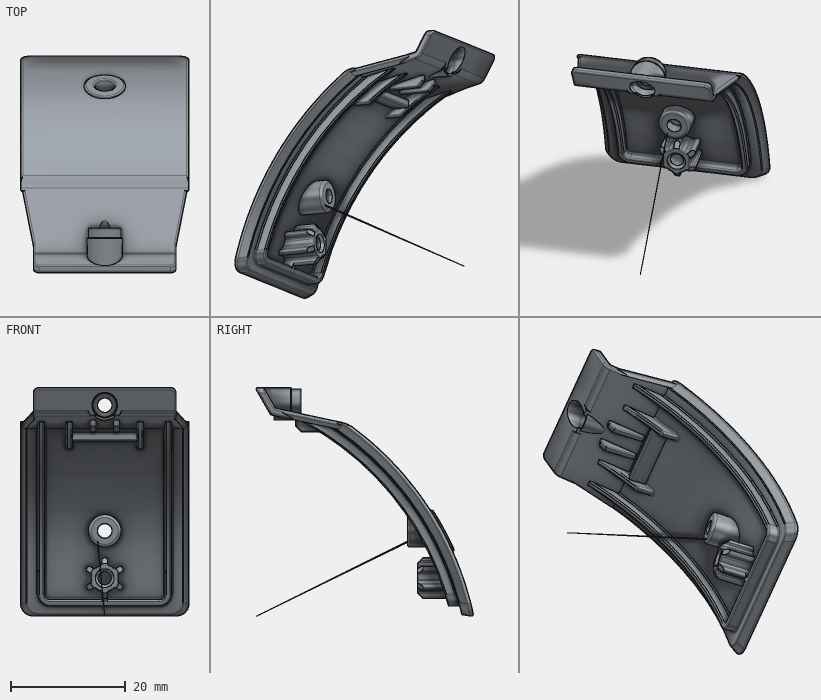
import cadquery as cq
import math

arc_y, arc_z = -16.0, -11.3
outer_radius = 55.0
plate_thickness = 2.0
inner_radius = outer_radius - plate_thickness
half_width = 15.02
side_inset = 1.35
plate_start = 10.0
plate_end = 56.2
foot_z = -0.1
foot_tilt = 10.0
foot_corner_radius = 2.6
outer_edge_radius = 0.4

corner_y, corner_z = 3.3, 36.2
panel_slope = 12.0
lip_slope = 60.0
panel_thickness = 1.3
panel_length = 13.1
top_z = 39.81
lip_half_width = 12.42
lip_corner_radius = 0.95
lip_edge_radius = 0.3
wing_start = 0.9
wing_half_width = 12.7
wing_end_half_width = 15.05
strip_length = 8.0
bend_outer_radius, bend_inner_radius = 1.9, 0.3
bend_radius = 5.6

rib_radius = 51.1
rib_width = 1.1
rib_end_z = 34.2
rib_edge_radius = 0.25
rib_foot_radius = 0.25
wall_half_width = 11.6
wall_bottom_z = 1.77
wall_corner_radius = 2.1
clip_x = 6.2
clip_bottom_z = 29.1
clip_corner_radius = 0.35
bar_y, bar_bottom_z, bar_top_z = 13.6, 30.5, 31.9
bar_depth = 3.0
bar_edge_radius = 0.3
gusset_x, gusset_width = 2.05, 1.0
gusset_y, gusset_bottom_z = 6.8, 32.1
gusset_chamfer = 1.0
gusset_depth, gusset_height = 6.5, 3.0
gusset_edge_radius = 0.2

screw_hole_diameter = 2.5
upper_z = 36.73
upper_front_y, upper_step_y, upper_end_y = 3.0, 6.1, 7.75
upper_diameter, upper_neck_diameter = 6.15, 5.65
upper_front_diameter = 5.2
upper_sink_diameter, upper_sink_floor_diameter = 4.45, 4.1
upper_sink_floor_y = 4.8
groove_diameter, groove_end_y = 3.5, 12.0
boss_edge_radius = 0.15

middle_z = 14.85
middle_front_y = 26.25
middle_diameter, middle_edge_radius = 5.67, 0.5
pad_diameter, pad_height = 7.2, 0.35
pad_edge_radius = 0.3
pocket_diameter, pocket_floor_y = 3.5, 28.5

star_z, star_front_y = 6.62, 28.0
star_core_diameter = 4.75
star_tip_radius = 3.56
star_rib_width = 1.0
star_rib_count = 6
star_tip_chamfer = 1.0
star_tip_edge_radius = 0.45
star_blend_radius = 0.5
star_face_radius = 0.15
star_hole_diameter, star_sink_diameter = 2.3, 3.27
star_tie_z = 2.3

overlap = 0.5
edge_tolerance = 0.02
corner_band = 0.2
ring_bore = 1.0
clear_y = -1.0
span = 80.0


def rotated(angle):
    """Unit vector in the YZ plane, measured from +Y toward +Z."""
    return math.cos(math.radians(angle)), math.sin(math.radians(angle))


def arc_point(radius, angle):
    """YZ point at this radius and angle about the shell axis."""
    ty, tz = rotated(angle)
    return arc_y + radius * ty, arc_z + radius * tz


def extrude_x(sketch, width):
    """Extrude a YZ sketch to both sides of the middle plane."""
    return sketch.extrude(width / 2, both=True)


def y_cylinder(diameter, z, y_start, y_end):
    plane = cq.Plane((0, y_start, z), (1, 0, 0), (0, 1, 0))
    return cq.Workplane(plane).circle(diameter / 2).extrude(y_end - y_start)


def y_cone(start_diameter, end_diameter, z, y_start, y_end):
    plane = cq.Plane((0, y_start, z), (1, 0, 0), (0, 1, 0))
    cone = cq.Workplane(plane).circle(start_diameter / 2)
    return cone.workplane(offset=y_end - y_start).circle(end_diameter / 2).loft()


def shell_ring(radius_in, radius_out):
    """Full-width ring about the shell axis."""
    ring = cq.Workplane("YZ").center(arc_y, arc_z).circle(radius_out).circle(radius_in)
    return extrude_x(ring, span)


def box(x_min, x_max, y_min, y_max, z_min, z_max):
    size = (x_max - x_min, y_max - y_min, z_max - z_min)
    return cq.Workplane("XY").box(*size, centered=False).translate((x_min, y_min, z_min))


def under_skin():
    """Everything under the outer skin: the shell, the tangent bend and the panel's top plane."""
    py, pz = rotated(-panel_slope)
    line_y = corner_y + bend_radius * pz - arc_y
    line_z = corner_z - bend_radius * py - arc_z
    along = line_y * py + line_z * pz
    to_axis = outer_radius - bend_radius
    travel = -along + math.sqrt(along ** 2 - line_y ** 2 - line_z ** 2 + to_axis ** 2)
    axis = (arc_y + line_y + travel * py, arc_z + line_z + travel * pz)
    shell_angle = math.degrees(math.atan2(axis[1] - arc_z, axis[0] - arc_y))
    panel_angle = 90 - panel_slope

    def bend_point(angle):
        ty, tz = rotated(angle)
        return axis[0] + bend_radius * ty, axis[1] + bend_radius * tz

    sketch = (
        cq.Workplane("YZ")
        .moveTo(corner_y - span * py, corner_z - span * pz)
        .lineTo(*bend_point(panel_angle))
        .threePointArc(bend_point((panel_angle + shell_angle) / 2), bend_point(shell_angle))
        .threePointArc(arc_point(outer_radius, shell_angle / 2), arc_point(outer_radius, 0))
        .lineTo(corner_y - span * py, arc_z)
        .close()
    )
    return extrude_x(sketch, span)


def make_plate():
    """Curved plate with drafted sides, a tilted foot face and rounded foot corners."""
    start_y, start_z = rotated(plate_start)
    plane = cq.Plane((0, arc_y, arc_z), (1, 0, 0), (0, -start_z, start_y))
    section = [
        (-half_width, outer_radius),
        (half_width, outer_radius),
        (half_width - side_inset, inner_radius),
        (-half_width + side_inset, inner_radius),
    ]
    sweep = plate_end - plate_start
    plate = cq.Workplane(plane).polyline(section).close().revolve(sweep, (0, 0), (1, 0))
    foot_y = arc_y + math.sqrt(outer_radius ** 2 - (foot_z - arc_z) ** 2)
    rise = span * math.tan(math.radians(foot_tilt))
    foot = [
        (foot_y + span, foot_z - rise),
        (foot_y - span, foot_z + rise),
        (foot_y - span, -span),
        (foot_y + span, -span),
    ]
    plate = plate.cut(extrude_x(cq.Workplane("YZ").polyline(foot).close(), span))
    foot_sides = cq.selectors.BoxSelector((-span, 0, -1), (span, span, 1))
    plate = plate.edges(foot_sides).edges("not |X").fillet(foot_corner_radius)
    return plate.faces(cq.selectors.AreaNthSelector(-1)).edges().fillet(outer_edge_radius)


def make_panel():
    """Panel that widens toward the plate, its sides drafted like those of the plate."""
    py, pz = rotated(-panel_slope)
    plane = cq.Plane((0, corner_y, corner_z), (1, 0, 0), (0, pz, -py))
    outline = [
        (-wing_half_width, -wing_start),
        (wing_half_width, -wing_start),
        (wing_end_half_width, -panel_length),
        (-wing_end_half_width, -panel_length),
    ]
    draft = math.degrees(math.atan2(side_inset, plate_thickness))
    panel = cq.Workplane(plane).polyline(outline).close().extrude(panel_thickness, taper=draft)
    top_face = panel.faces(cq.selectors.DirectionNthSelector(plane.zDir, 0))
    return top_face.edges("not |X").fillet(outer_edge_radius)


def bend_points():
    """Inside and outside of the bend, and both ends of the lip's top face, in the YZ plane."""
    py, pz = rotated(-panel_slope)
    ly, lz = rotated(180 - lip_slope)
    normal_y, normal_z = pz - lz, -py + ly
    mitre = panel_thickness / (1 - pz * lz - py * ly)
    inner = (corner_y, corner_z)
    outer = (corner_y + mitre * normal_y, corner_z + mitre * normal_z)
    inner_reach = (top_z - corner_z) / lz
    outer_reach = (top_z - outer[1]) / lz
    lip_back = (corner_y + inner_reach * ly, top_z)
    lip_front = (outer[0] + outer_reach * ly, top_z)
    return inner, outer, lip_back, lip_front


def down_panel(point, distance):
    """Move a YZ point along the panel, away from the lip."""
    py, pz = rotated(-panel_slope)
    return point[0] + distance * py, point[1] + distance * pz


def make_lip():
    """Middle strip of the panel, bent up into the lip."""
    inner, outer, lip_back, lip_front = bend_points()
    inner_end = down_panel(inner, strip_length)
    outer_end = down_panel(outer, strip_length)
    profile = [inner_end, inner, lip_back, lip_front, outer, outer_end]
    lip = extrude_x(cq.Workplane("YZ").polyline(profile).close(), 2 * lip_half_width)
    low_corner = (-span, clear_y, top_z - corner_band)
    high_corner = (span, corner_y, top_z + corner_band)
    top_corners = cq.selectors.BoxSelector(low_corner, high_corner)
    lip = lip.edges(top_corners).edges("not |X").fillet(lip_corner_radius)
    lip = lip.edges(cq.selectors.NearestToPointSelector((0, *outer))).fillet(bend_outer_radius)
    lip = lip.edges(cq.selectors.NearestToPointSelector((0, *inner))).fillet(bend_inner_radius)
    for low, high in ((outer, lip_front), (inner, lip_back)):
        middle = (0, (low[0] + high[0]) / 2, (low[1] + high[1]) / 2)
        face = lip.faces(cq.selectors.NearestToPointSelector(middle))
        lip = face.edges("not |X or >Z").fillet(lip_edge_radius)
    return lip


def edges_on_shell(body, radius):
    """Edges that lie on the cylinder of this radius about the shell axis."""
    def on_shell(edge):
        points = [edge.positionAt(t) for t in (0, 0.5, 1)]
        return all(abs(math.hypot(p.y - arc_y, p.z - arc_z) - radius) < edge_tolerance for p in points)

    return body.edges().filter(on_shell)


def make_rib(outline):
    """Rib with a rounded crest on the inner arc; outline is its shape along Y."""
    outline = outline.intersect(box(-span, span, 0, span, 0, rib_end_z))
    rib = shell_ring(rib_radius, inner_radius + overlap).intersect(outline).intersect(under_skin())
    return edges_on_shell(rib, rib_radius).fillet(rib_edge_radius)


def make_wall():
    """U-shaped wall inside the rim of the plate."""
    def block(inset):
        half = wall_half_width - inset
        low = wall_bottom_z + inset
        solid = box(-half, half, 0, span, low, span)
        return solid.edges("|Y and <Z").fillet(wall_corner_radius - inset)

    return make_rib(block(0).cut(block(rib_width)))


def make_clip(x):
    """Short upright rib beside the bar."""
    outline = box(x - rib_width / 2, x + rib_width / 2, 0, span, clip_bottom_z, span)
    return make_rib(outline.edges("|Y and <Z").fillet(clip_corner_radius))


def make_ribbed_plate():
    """Plate and panel with the wall and clips, blended where these stand on the plate."""
    body = make_plate().union(make_panel()).intersect(under_skin()).union(make_wall())
    for x in (-clip_x, clip_x):
        body = body.union(make_clip(x))

    def at_rib_foot(edge):
        bounds = edge.BoundingBox()
        beside_rib = max(-bounds.xmin, bounds.xmax) < wall_half_width + overlap
        level = edge.geomType() == "LINE" and bounds.zmin > clip_bottom_z + rib_width
        return beside_rib and not level

    return edges_on_shell(body, inner_radius).filter(at_rib_foot).fillet(rib_foot_radius)


def make_tie():
    """Short web joining the lowest star rib to the wall."""
    half_rib = star_rib_width / 2
    tie = box(-half_rib, half_rib, 0, span, star_tie_z, star_z - star_core_diameter / 2)
    return tie.intersect(shell_ring(rib_radius, inner_radius + overlap))


def make_bar():
    """Cross bar between the two clips."""
    bar = box(-clip_x, clip_x, bar_y, bar_y + bar_depth, bar_bottom_z, bar_top_z)
    return bar.edges("|X and <Y").fillet(bar_edge_radius)


def make_gusset(x):
    """Small chamfered web under the panel."""
    half = gusset_width / 2
    end_y = gusset_y + gusset_depth
    end_z = gusset_bottom_z + gusset_height
    block = box(x - half, x + half, gusset_y, end_y, gusset_bottom_z, end_z)
    block = block.edges("|X and <Y and <Z").chamfer(gusset_chamfer)
    rim = block.faces("<X or >X").edges("not (>Y or >Z)")
    return rim.fillet(gusset_edge_radius).intersect(under_skin())


def make_middle_post():
    """Round post on the inside of the plate."""
    post = y_cylinder(middle_diameter, middle_z, middle_front_y, span)
    post = post.faces("<Y").edges().fillet(middle_edge_radius)
    return post.intersect(shell_ring(ring_bore, inner_radius + overlap))


def make_pad():
    """Low round pad that follows the outside of the plate around the middle screw."""
    pad = y_cylinder(pad_diameter, middle_z, middle_front_y, span)
    pad = pad.cut(y_cylinder(pocket_diameter, middle_z, middle_front_y, span))
    pad = pad.intersect(shell_ring(inner_radius + overlap, outer_radius + pad_height))
    return edges_on_shell(pad, outer_radius + pad_height).edges("not |Y").fillet(pad_edge_radius)


def make_star_post():
    """Round core with radial ribs whose tips are chamfered at the front."""
    core_radius = star_core_diameter / 2
    half_rib = star_rib_width / 2
    post = y_cylinder(star_core_diameter, star_z, star_front_y, span)
    for i in range(star_rib_count):
        rib = box(-half_rib, half_rib, star_front_y, span, core_radius / 2, star_tip_radius)
        rib = rib.edges("|Y and >Z").fillet(star_tip_edge_radius)
        rib = rib.rotate((0, 0, 0), (0, 1, 0), i * 360 / star_rib_count)
        post = post.union(rib.translate((0, 0, star_z)))

    def in_core_corner(edge):
        middle = edge.Center()
        return abs(math.hypot(middle.x, middle.z - star_z) - core_radius) < edge_tolerance

    post = post.edges("|Y").filter(in_core_corner).fillet(star_blend_radius)
    post = post.faces("<Y").edges().fillet(star_face_radius)
    envelope = y_cylinder(2 * star_tip_radius, star_z, star_front_y, span)
    envelope = envelope.faces("<Y").chamfer(star_tip_chamfer)
    return post.intersect(envelope).intersect(shell_ring(ring_bore, inner_radius + overlap))


def make_upper_boss():
    """Stepped boss behind the lip, with a smaller nose under the panel."""
    _, outer, lip_back, lip_front = bend_points()
    behind = [outer, lip_front, (span, top_z), (span, 0), down_panel(outer, span / 2)]
    behind = extrude_x(cq.Workplane("YZ").polyline(behind).close(), span)
    body = y_cylinder(upper_diameter, upper_z, lip_back[0], upper_step_y)
    body = body.faces(">Y").edges().chamfer(boss_edge_radius).intersect(behind)
    neck = y_cylinder(upper_neck_diameter, upper_z, corner_y, upper_end_y)
    neck = neck.faces(">Y").edges().fillet(boss_edge_radius).intersect(behind)
    nose = y_cylinder(upper_front_diameter, upper_z, upper_front_y, upper_end_y)
    return body.union(neck).union(nose)


def upper_cuts():
    """Screw hole, its recess through the lip, and the groove that clears the panel behind."""
    hole = y_cylinder(screw_hole_diameter, upper_z, clear_y, upper_end_y)
    mouth = y_cylinder(upper_sink_diameter, upper_z, clear_y, upper_front_y)
    sink = y_cone(
        upper_sink_diameter,
        upper_sink_floor_diameter,
        upper_z,
        upper_front_y,
        upper_sink_floor_y,
    )
    groove = y_cylinder(groove_diameter, upper_z, upper_end_y, groove_end_y)
    return hole.union(sink).union(mouth).union(groove)


def middle_cuts():
    """Screw hole with a wider pocket from the outside."""
    hole = y_cylinder(screw_hole_diameter, middle_z, middle_front_y, span)
    return hole.union(y_cylinder(pocket_diameter, middle_z, pocket_floor_y, span))


def star_cuts():
    """Countersunk blind hole that stops at the inner face of the plate."""
    sink_depth = (star_sink_diameter - star_hole_diameter) / 2
    sink_end_y = star_front_y + sink_depth
    hole = y_cylinder(star_hole_diameter, star_z, star_front_y, span)
    hole = hole.intersect(shell_ring(ring_bore, inner_radius))
    sink = y_cone(star_sink_diameter, star_hole_diameter, star_z, star_front_y, sink_end_y)
    return hole.union(sink)


result = make_ribbed_plate().union(make_lip()).union(make_bar()).union(make_tie())
for x in (-gusset_x, gusset_x):
    result = result.union(make_gusset(x))
result = result.union(make_middle_post()).union(make_pad())
result = result.union(make_star_post()).union(make_upper_boss())
result = result.cut(upper_cuts()).cut(middle_cuts()).cut(star_cuts())